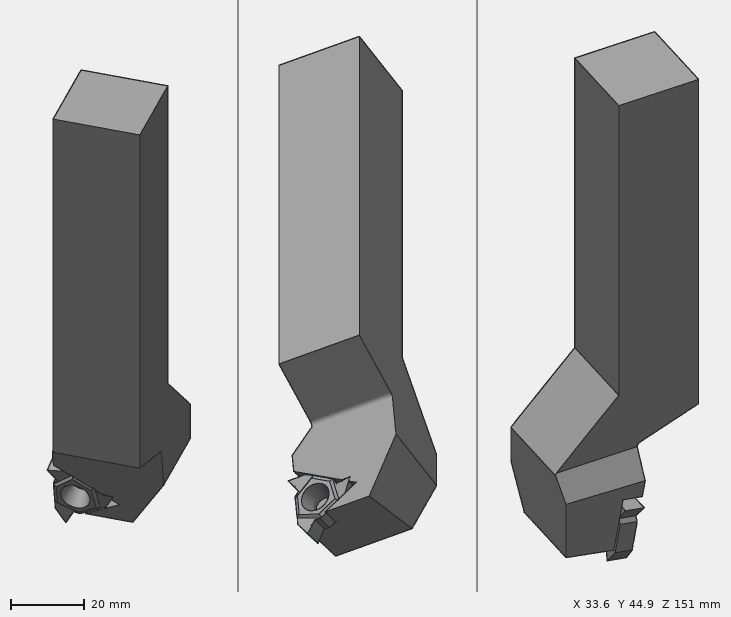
import cadquery as cq
import math

total_height = 151.0
shank_size = 25.0
head_back = 44.9
crank_top = 52.4
crank_bottom = crank_top - (head_back - shank_size)
underside_outer = 40.6
neck_y = 19.0
neck_z = 33.8
neck_fillet = 1.5

head_tilt = 10.0
slope = math.tan(math.radians(head_tilt))
heel_z = 8.5
head_left = -6.8
shoulder_z = 33.0
side_relief = 0.5
chamfer_start_z = 21.1
chamfer_bottom_x = 15.1

insert_x = -1.0
insert_z = 10.5
inradius = 6.3
insert_thickness = 6.0
corner_count = 3
corner_step = 360.0 / corner_count
side_top = 3.0
side_bottom = -6.2
tip_point = (-3.3, -10.7)
notch_point = (-1.0, -6.6)
hole_diameter = 5.7
countersink_diameter = 8.5
countersink_depth = 4.5
rake_direction = 250.0
rake_start = 5.3
rake_floor = 6.0
rake_depth = 0.8
rake_end = 11.2
rake_width = 18.1
side_direction = 180.0
bevel_start = 5.3
bevel_depth = 0.6
bevel_width = 12.1

toe_y = (neck_y + (neck_z - heel_z + head_back * slope) * slope) / (1 + slope**2)
toe_z = heel_z - (head_back - toe_y) * slope

insert_y = neck_y + (neck_z - insert_z) * slope
tilt = math.radians(head_tilt)
insert_plane = cq.Plane(
    origin=(insert_x, insert_y, insert_z),
    xDir=(1, 0, 0),
    normal=(0, -math.cos(tilt), -math.sin(tilt)),
)


def rotated(point, degrees):
    """Turn a point about the insert centre."""
    angle = math.radians(degrees)
    x, y = point
    return (
        x * math.cos(angle) - y * math.sin(angle),
        x * math.sin(angle) + y * math.cos(angle),
    )


def insert_blank():
    """Prism of the three-cornered insert outline."""
    one_side = [(-inradius, side_top), (-inradius, side_bottom), tip_point, notch_point]
    outline = [
        rotated(point, corner * corner_step)
        for corner in range(corner_count)
        for point in one_side
    ]
    return cq.Workplane(insert_plane).polyline(outline).close().extrude(-insert_thickness)


def face_cutter(profile, width, direction):
    """Cutter with a radial profile (distance from centre, height), aimed along a direction."""
    cutter = (
        cq.Workplane("XZ")
        .polyline(profile)
        .close()
        .extrude(width / 2, both=True)
        .rotate((0, 0, 0), (0, 0, 1), direction)
    )
    return cq.Workplane(cutter.val().moved(cq.Location(insert_plane)))


def build_insert():
    insert = insert_blank()
    rake_profile = [(rake_start, 0), (rake_floor, -rake_depth), (rake_end, 0)]
    bevel_profile = [(bevel_start, 0), (inradius, -bevel_depth), (inradius, 0)]
    for corner in range(corner_count):
        turn = corner * corner_step
        insert = insert.cut(face_cutter(rake_profile, rake_width, rake_direction + turn))
        insert = insert.cut(face_cutter(bevel_profile, bevel_width, side_direction + turn))
    hole = cq.Workplane(insert_plane).circle(hole_diameter / 2).extrude(-insert_thickness)
    countersink = cq.Workplane(
        cq.Solid.makeCone(
            countersink_diameter / 2,
            hole_diameter / 2,
            countersink_depth,
            pnt=insert_plane.origin,
            dir=-insert_plane.zDir,
        )
    )
    return insert.cut(hole).cut(countersink)


def cranked_bar():
    """Side profile of shank, neck and head, across the full width of the holder."""
    profile = [
        (0, total_height),
        (shank_size, total_height),
        (shank_size, crank_top),
        (head_back, crank_bottom),
        (head_back, heel_z),
        (toe_y, toe_z),
        (neck_y, neck_z),
        (0, underside_outer),
    ]
    bar = (
        cq.Workplane("YZ")
        .workplane(offset=head_left)
        .polyline(profile)
        .close()
        .extrude(shank_size - head_left)
    )
    neck_edge = cq.selectors.NearestToPointSelector(((head_left + shank_size) / 2, neck_y, neck_z))
    return bar.edges(neck_edge).fillet(neck_fillet)


def front_outline():
    """Prism of the holder outline in X, Z, through the full depth."""
    outline = [
        (0, total_height),
        (shank_size, total_height),
        (shank_size, chamfer_start_z),
        (chamfer_bottom_x, toe_z),
        (chamfer_bottom_x, 0),
        (head_left, 0),
        (head_left, shoulder_z + head_left),
        (0, shoulder_z),
    ]
    return cq.Workplane("XZ").polyline(outline).close().extrude(-head_back)


def relief_cutter():
    """Thin wedge that tapers the left side of the head toward the back."""
    return (
        cq.Workplane("XY")
        .polyline([(head_left, neck_y), (head_left, head_back), (head_left + side_relief, head_back)])
        .close()
        .extrude(shoulder_z)
    )


def seat_cutter():
    """Triangular seat, with clearance for the tips that stand outside the triangle."""
    triangle = (
        cq.Workplane(insert_plane)
        .polyline([rotated((2 * inradius, 0), corner * corner_step) for corner in range(corner_count)])
        .close()
        .extrude(-insert_thickness)
    )
    return triangle.union(insert_blank())


def build_holder():
    return cranked_bar().intersect(front_outline()).cut(relief_cutter()).cut(seat_cutter())


holder = build_holder()
insert = build_insert()

result = cq.Compound.makeCompound([holder.val(), insert.val()])